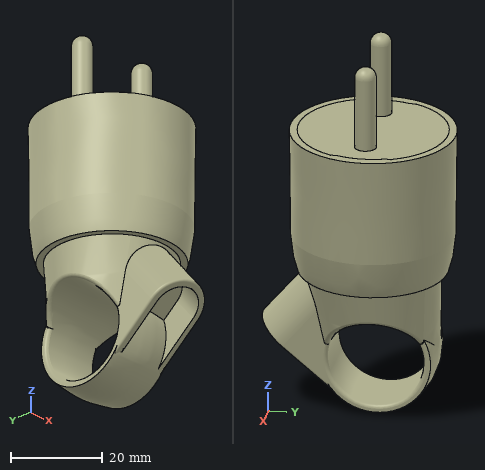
import cadquery as cq
import math

pin_height = 19.0
pin_radius = 4.8 / 2
pin_offset = 9.5
total_height = 84.1
body_depth = total_height - pin_height

sleeve_radius = 18.4
sleeve_belt_radius = 18.2
sleeve_end_radius = 16.65
sleeve_belt_z = -24.5
sleeve_end_z = -32.9

plate_radius = 16.65
plate_side_radius = 16.15
plate_step_x = 15.2
plate_thickness = 4.2

neck_radius = 30.0 / 2
grip_half_width = 7.6
crown = 0.8
ring_radius = 13.1
ring_edge_radius = ring_radius - crown
ring_y = 1.85
ring_z = ring_radius - body_depth
flank_bulge_x = 12.2
neck_end_y = ring_radius - 0.04
neck_end_corner_y = 10.6

hole_radius = 10.4
hole_rim_radius = 11.4
rim_fillet = 0.8
rim_tolerance = 0.1

outlet_tilt = math.radians(40)
outlet_axis = cq.Vector(0, -math.sin(outlet_tilt), -math.cos(outlet_tilt))
outlet_end = ring_edge_radius - 0.1
outlet_root = -4.2
outlet_reach = 24.55
outlet_wall = 1.8
outlet_fillet = 0.6
outlet_core_radius = 11.9
pocket_depth = 7.6


def make_sleeve(plate):
    profile = (
        cq.Workplane("XZ")
        .lineTo(sleeve_radius, 0)
        .lineTo(sleeve_belt_radius, sleeve_belt_z)
        .tangentArcPoint((sleeve_end_radius, sleeve_end_z), relative=False)
        .lineTo(0, sleeve_end_z)
        .close()
    )
    sleeve = profile.revolve(360, (0, 0, 0), (0, 1, 0))
    return sleeve.cut(plate)


def make_plate_blank():
    outer_y = math.sqrt(plate_radius**2 - plate_step_x**2)
    inner_y = math.sqrt(plate_side_radius**2 - plate_step_x**2)
    return (
        cq.Workplane("XY")
        .moveTo(plate_step_x, outer_y)
        .threePointArc((0, plate_radius), (-plate_step_x, outer_y))
        .lineTo(-plate_step_x, inner_y)
        .threePointArc((-plate_side_radius, 0), (-plate_step_x, -inner_y))
        .lineTo(-plate_step_x, -outer_y)
        .threePointArc((0, -plate_radius), (plate_step_x, -outer_y))
        .lineTo(plate_step_x, -inner_y)
        .threePointArc((plate_side_radius, 0), (plate_step_x, inner_y))
        .close()
        .extrude(-plate_thickness)
    )


def make_pin(x):
    """Round pin with a domed tip; its root fills a hole through the contact plate."""
    shaft_top = pin_height - pin_radius
    return (
        cq.Workplane("XZ", origin=(x, 0, 0))
        .moveTo(0, -plate_thickness)
        .lineTo(pin_radius, -plate_thickness)
        .lineTo(pin_radius, shaft_top)
        .radiusArc((0, pin_height), -pin_radius)
        .close()
        .revolve(360, (0, 0, 0), (0, 1, 0))
    )


def four_arc_section(plane, corner, side_x, end_y):
    """Closed section of four arcs through (+-side_x, 0) and (0, +-end_y), meeting at the corners."""
    x, y = corner
    return (
        plane.moveTo(x, -y)
        .threePointArc((side_x, 0), (x, y))
        .threePointArc((0, end_y), (-x, y))
        .threePointArc((-side_x, 0), (-x, -y))
        .threePointArc((0, -end_y), (x, -y))
        .close()
    )


def make_neck():
    """Ruled blend from the round neck down to the middle of the ring, ending just inside it."""
    top_corner = (grip_half_width, math.sqrt(neck_radius**2 - grip_half_width**2))
    end_corner = (grip_half_width, neck_end_corner_y)
    top = four_arc_section(
        cq.Workplane("XY", origin=(0, 0, sleeve_end_z)), top_corner, neck_radius, neck_radius
    )
    end_plane = top.workplane(offset=ring_z - sleeve_end_z).center(0, ring_y)
    sections = four_arc_section(end_plane, end_corner, flank_bulge_x, neck_end_y)
    return sections.loft(ruled=True)


def revolve_about_ring_axis(half_width, edge_radius, middle_radius):
    """Solid round the X axis of the ring, its radius varying along an arc across the width."""
    return (
        cq.Workplane("XY", origin=(0, ring_y, ring_z))
        .moveTo(-half_width, 0)
        .lineTo(-half_width, edge_radius)
        .threePointArc((0, middle_radius), (half_width, edge_radius))
        .lineTo(half_width, 0)
        .close()
        .revolve(360, (0, 0, 0), (1, 0, 0))
    )


def round_topped_block(half_width, reach, start, depth):
    """Arch section on a plane facing along the outlet, cut back by depth from start."""
    plane = cq.Plane(
        origin=cq.Vector(0, ring_y, ring_z) + outlet_axis * start,
        xDir=(1, 0, 0),
        normal=outlet_axis,
    )
    return (
        cq.Workplane(plane)
        .moveTo(-half_width, 0)
        .lineTo(-half_width, reach - half_width)
        .threePointArc((0, reach), (half_width, reach - half_width))
        .lineTo(half_width, 0)
        .close()
        .extrude(-depth)
    )


def is_hole_rim(edge):
    """True for the edges where the finger hole breaks out of the flanks and the ring sides."""
    for fraction in (0, 0.5, 1):
        point = edge.positionAt(fraction)
        distance = math.hypot(point.y - ring_y, point.z - ring_z)
        if distance > hole_rim_radius + rim_tolerance or abs(point.x) < grip_half_width - rim_tolerance:
            return False
    return True


def make_outlet(pocket):
    """Cord boss with a rounded lip, hollowed by the pocket and kept clear of the finger hole."""
    outlet = round_topped_block(grip_half_width, outlet_reach, outlet_end, outlet_end - outlet_root)
    end_face = cq.selectors.DirectionMinMaxSelector(outlet_axis, True)
    outlet = outlet.faces(end_face).edges("not |X").fillet(outlet_fillet)
    core = (
        cq.Workplane("YZ", origin=(-grip_half_width, ring_y, ring_z))
        .circle(outlet_core_radius)
        .extrude(2 * grip_half_width)
    )
    return outlet.cut(pocket).cut(core)


def make_grip():
    pocket = round_topped_block(
        grip_half_width - outlet_wall, outlet_reach - outlet_wall, outlet_end, pocket_depth
    )
    ring = revolve_about_ring_axis(grip_half_width, ring_edge_radius, ring_radius)
    hole = revolve_about_ring_axis(neck_radius, hole_rim_radius, hole_radius)
    grip = make_neck().cut(pocket).union(ring).cut(hole)
    rim = [edge for edge in grip.edges().vals() if is_hole_rim(edge)]
    grip = grip.newObject(rim).fillet(rim_fillet)
    grip = grip.union(make_outlet(pocket))
    return grip.newObject([grip.val().fix()])


plate_blank = make_plate_blank()
sleeve = make_sleeve(plate_blank)
pins = [make_pin(x) for x in (-pin_offset, pin_offset)]
plate = plate_blank
for pin in pins:
    plate = plate.cut(pin)
grip = make_grip()

pin_solids = [pin.val() for pin in pins]
result = cq.Compound.makeCompound([sleeve.val(), plate.val(), *pin_solids, grip.val()])